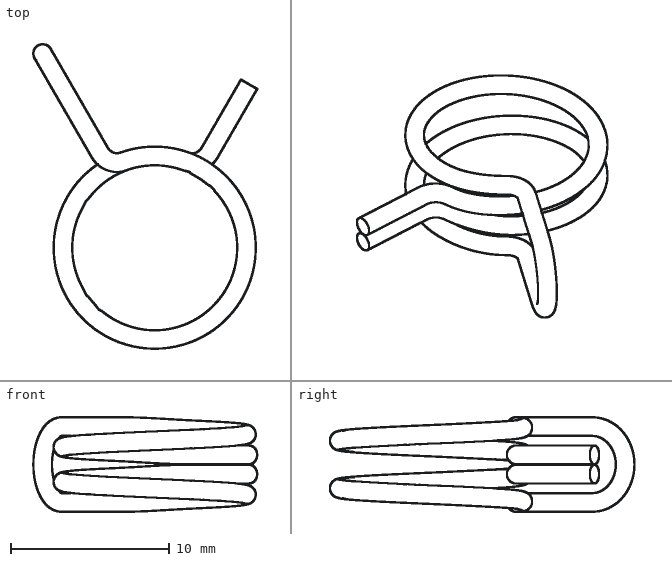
import cadquery as cq
import math


wire_diameter = 1.2
coil_radius = 5.8
bend_radius = 1.25
overall_height = 6.0
loop_reach = 14.18
tail_reach = 11.95
tail_gap = 0.02
loop_direction = 120.0
tail_direction = 60.0
coil_points = 13

wire_radius = wire_diameter / 2
loop_height = overall_height / 2 - wire_radius
tail_height = wire_radius + tail_gap / 2

bend_centre_radius = coil_radius + bend_radius
bend_offset = math.degrees(math.asin(bend_radius / bend_centre_radius))
arm_start_reach = math.sqrt(bend_centre_radius**2 - bend_radius**2)

coil_start = loop_direction - bend_offset
coil_end = tail_direction + bend_offset - 360.0


def polar(radius, angle, height):
    """Point at a radius and an angle in degrees around the clamp axis."""
    return cq.Vector(
        radius * math.cos(math.radians(angle)),
        radius * math.sin(math.radians(angle)),
        height,
    )


def clockwise_tangent(angle):
    """Level tangent of clockwise travel round the coil, sized per radian."""
    return polar(coil_radius, angle - 90.0, 0.0)


def loop_quarter():
    """Half of the U-shaped loop, from the middle plane up to its straight arm."""
    centre = polar(loop_reach - loop_height, loop_direction, 0.0)
    middle_direction = polar(1.0, loop_direction, 1.0).normalized()
    return cq.Edge.makeThreePointArc(
        polar(loop_reach, loop_direction, 0.0),
        centre + middle_direction * loop_height,
        polar(loop_reach - loop_height, loop_direction, loop_height),
    )


def loop_arm():
    return cq.Edge.makeLine(
        polar(loop_reach - loop_height, loop_direction, loop_height),
        polar(arm_start_reach, loop_direction, loop_height),
    )


def loop_bend():
    return cq.Edge.makeTangentArc(
        polar(arm_start_reach, loop_direction, loop_height),
        polar(-1.0, loop_direction, 0.0),
        polar(coil_radius, coil_start, loop_height),
    )


def coil():
    """Overlapping turn that descends evenly and leaves both ends level."""
    points = []
    turned_angles = []
    for index in range(coil_points):
        fraction = index / (coil_points - 1)
        turned = fraction * (coil_start - coil_end)
        height = loop_height + fraction * (tail_height - loop_height)
        points.append(polar(coil_radius, coil_start - turned, height))
        turned_angles.append(math.radians(turned))
    return cq.Edge.makeSpline(
        points,
        tangents=[clockwise_tangent(coil_start), clockwise_tangent(coil_end)],
        parameters=turned_angles,
        scale=False,
    )


def tail_bend():
    return cq.Edge.makeTangentArc(
        polar(coil_radius, coil_end, tail_height),
        clockwise_tangent(coil_end),
        polar(arm_start_reach, tail_direction, tail_height),
    )


def tail():
    return cq.Edge.makeLine(
        polar(arm_start_reach, tail_direction, tail_height),
        polar(tail_reach, tail_direction, tail_height),
    )


centreline = cq.Wire.assembleEdges(
    [loop_quarter(), loop_arm(), loop_bend(), coil(), tail_bend(), tail()]
)
section_plane = cq.Plane(
    origin=polar(loop_reach, loop_direction, 0.0),
    xDir=polar(1.0, loop_direction, 0.0),
    normal=(0, 0, 1),
)
upper_half = cq.Workplane(section_plane).circle(wire_radius).sweep(cq.Workplane(centreline))

result = upper_half.union(upper_half.mirror("XY"))